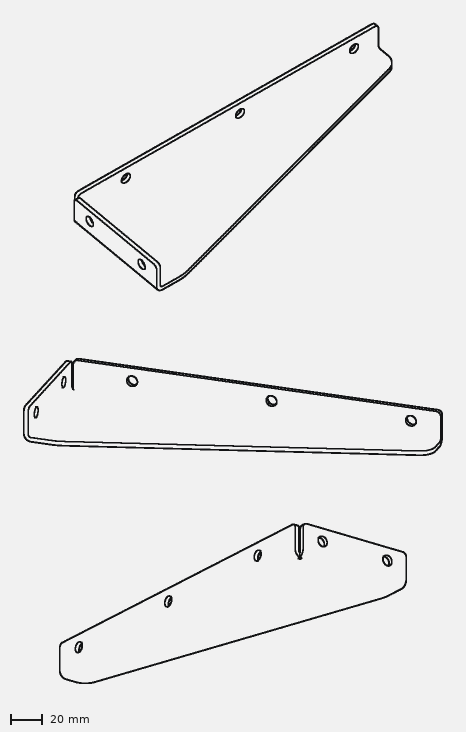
import cadquery as cq

width = 85.0
length = 249.0
height = 23.0

thickness = 3.0
bend_radius = 5.0
inner_bend_radius = bend_radius - thickness
corner_relief = 3.5
flange_corner_radius = 3.0

tip_width = 20.2
straight_side_end = 22.5
tip_radius = 10.0
shoulder_radius = 25.0

hole_diameter = 7.0
hole_height = 14.0
long_hole_pitch = 93.1
long_hole_end_distance = 20.0
short_hole_pitch = 51.0
short_hole_end_distance = 15.0

long_hole_positions = [length - long_hole_end_distance - i * long_hole_pitch for i in range(3)]
short_hole_positions = [width - short_hole_end_distance - i * short_hole_pitch for i in range(2)]


def make_plate():
    """Flat web between the bends, with rounded corners on its sloping edge."""
    plate = (
        cq.Workplane("XY")
        .moveTo(bend_radius, bend_radius)
        .lineTo(width, bend_radius)
        .lineTo(width, straight_side_end)
        .lineTo(tip_width, length)
        .lineTo(bend_radius, length)
        .close()
        .extrude(thickness)
    )
    tip_edge = cq.selectors.NearestToPointSelector((tip_width, length, thickness / 2))
    shoulder_edge = cq.selectors.NearestToPointSelector((width, straight_side_end, thickness / 2))
    plate = plate.edges("|Z").edges(tip_edge).fillet(tip_radius)
    return plate.edges("|Z").edges(shoulder_edge).fillet(shoulder_radius)


def make_flange(end, hole_positions):
    """Upright flange and its bend, running along X with its outer face at Y = 0."""
    flange = (
        cq.Workplane("YZ", origin=(corner_relief, 0, 0))
        .moveTo(bend_radius, 0)
        .radiusArc((0, bend_radius), bend_radius)
        .lineTo(0, height)
        .lineTo(thickness, height)
        .lineTo(thickness, bend_radius)
        .radiusArc((bend_radius, thickness), -inner_bend_radius)
        .close()
        .extrude(end - corner_relief)
    )
    flange = flange.faces(">Z").edges("|Y").fillet(flange_corner_radius)
    holes = (
        cq.Workplane("XZ")
        .pushPoints([(position, hole_height) for position in hole_positions])
        .circle(hole_diameter / 2)
        .extrude(-thickness)
    )
    return flange.cut(holes)


short_flange = make_flange(width, short_hole_positions)

long_flange = (
    make_flange(length, long_hole_positions)
    .mirror("XZ")
    .rotate((0, 0, 0), (0, 0, 1), 90)
)

result = make_plate().union(short_flange).union(long_flange)